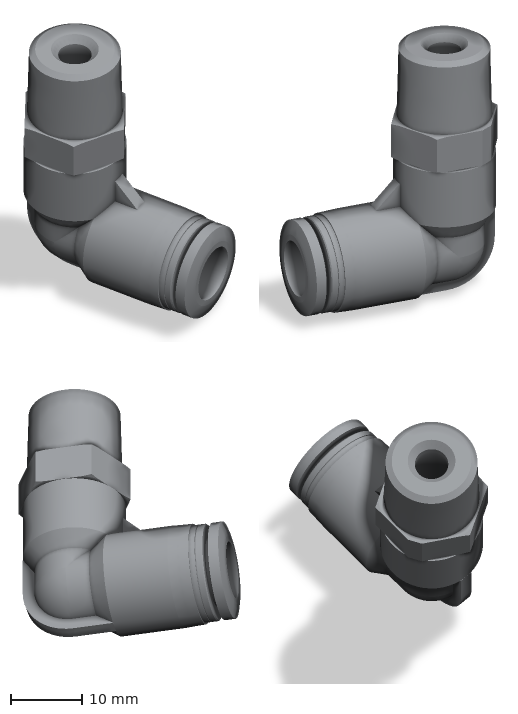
import cadquery as cq
import math

body_radius = 14.5 / 2
elbow_radius = 5.65
shoulder_start = 3.33
shoulder_end = 5.75

body_top = 14.3
hex_bottom = 14.55
hex_top = 20.0
hex_across_flats = 14.0
hex_bevel_radius = 7.5
hex_bevel_angle = 15.0
hex_flat_distance = 7.5
hex_flat_direction = 120.0
overall_height = 38.25
stem_top = overall_height - body_radius
stem_base_radius = 6.75
stem_tip_radius = 6.45
stem_chamfer_height = 0.57
stem_face_radius = 5.6

body_end = 15.0
taper_end = 17.98
taper_end_radius = 14.25 / 2
collar_radius = 13.8 / 2
collar_end = 19.93
collar_chamfer = 0.15
groove_position = 18.9
groove_width = 0.15
groove_depth = 0.15
neck_radius = 9.8 / 2
neck_fillet = 0.55
flange_start = 20.75
flange_rim_end = 22.22
flange_end = 22.72
flange_face_radius = 4.85
flange_bulge = 0.095

bore_radius = 4.7 / 2
countersink_radius = 6.7 / 2
countersink_depth = countersink_radius - bore_radius
tube_radius = 8.0 / 2
tube_stop = 6.5

rib_thickness = 2.0
gusset_reach = 10.8


def vertical_body():
    """Elbow leg, shoulder, body and tapered stem, turned about Z."""
    profile = [
        (0, 0),
        (elbow_radius, 0),
        (elbow_radius, shoulder_start),
        (body_radius, shoulder_end),
        (body_radius, body_top),
        (stem_base_radius, body_top),
        (stem_base_radius, hex_top),
        (stem_tip_radius, stem_top - stem_chamfer_height),
        (stem_face_radius, stem_top),
        (0, stem_top),
    ]
    return cq.Workplane("XZ").polyline(profile).close().revolve(360, (0, 0), (0, 1))


def hexagon():
    """Wrench hexagon with both ends bevelled and one corner trimmed flat."""
    corner_radius = hex_across_flats / math.sqrt(3)
    height = hex_top - hex_bottom
    prism = (
        cq.Workplane("XY")
        .workplane(offset=hex_bottom)
        .polygon(6, 2 * corner_radius)
        .extrude(height)
    )
    bevel_height = (corner_radius - hex_bevel_radius) * math.tan(math.radians(hex_bevel_angle))
    envelope = (
        cq.Workplane("XZ")
        .moveTo(0, hex_bottom)
        .lineTo(hex_bevel_radius, hex_bottom)
        .lineTo(corner_radius, hex_bottom + bevel_height)
        .lineTo(corner_radius, hex_top - bevel_height)
        .lineTo(hex_bevel_radius, hex_top)
        .lineTo(0, hex_top)
        .close()
        .revolve(360, (0, 0), (0, 1))
    )
    trim_block = (
        cq.Workplane("XY")
        .box(corner_radius, corner_radius, height, centered=(False, True, False))
        .translate((hex_flat_distance, 0, hex_bottom))
        .rotate((0, 0, 0), (0, 0, 1), hex_flat_direction)
    )
    return prism.intersect(envelope).cut(trim_block)


def horizontal_body():
    """Elbow leg, body, collar and release flange, turned about X."""
    groove_start = groove_position - groove_width / 2
    groove_end = groove_position + groove_width / 2
    crown_middle = (
        (flange_rim_end + flange_end) / 2 + flange_bulge,
        (collar_radius + flange_face_radius) / 2,
    )
    return (
        cq.Workplane("XZ")
        .lineTo(0, elbow_radius)
        .lineTo(shoulder_start, elbow_radius)
        .lineTo(shoulder_end, body_radius)
        .lineTo(body_end, body_radius)
        .lineTo(taper_end, taper_end_radius)
        .lineTo(taper_end, collar_radius)
        .lineTo(groove_start, collar_radius)
        .lineTo(groove_start, collar_radius - groove_depth)
        .lineTo(groove_end, collar_radius - groove_depth)
        .lineTo(groove_end, collar_radius)
        .lineTo(collar_end - collar_chamfer, collar_radius)
        .lineTo(collar_end, collar_radius - collar_chamfer)
        .lineTo(collar_end, neck_radius)
        .lineTo(flange_start - neck_fillet, neck_radius)
        .radiusArc((flange_start, neck_radius + neck_fillet), -neck_fillet)
        .lineTo(flange_start, collar_radius)
        .lineTo(flange_rim_end, collar_radius)
        .threePointArc(crown_middle, (flange_end, flange_face_radius))
        .lineTo(flange_end, 0)
        .close()
        .revolve(360, (0, 0), (1, 0))
    )


def outer_rib():
    """Rib around the outside of the bend."""
    arc_offset = body_radius * math.sqrt(0.5)
    return (
        cq.Workplane("XZ")
        .moveTo(-body_radius, shoulder_end)
        .lineTo(-body_radius, 0)
        .threePointArc((-arc_offset, -arc_offset), (0, -body_radius))
        .lineTo(shoulder_end, -body_radius)
        .lineTo(shoulder_end, 0)
        .lineTo(0, shoulder_end)
        .close()
        .extrude(rib_thickness / 2, both=True)
    )


def inner_gusset():
    """Triangular web in the inside corner of the elbow."""
    profile = [
        (shoulder_end, shoulder_end),
        (gusset_reach, shoulder_end),
        (gusset_reach, body_radius),
        (body_radius, gusset_reach),
        (shoulder_end, gusset_reach),
    ]
    return cq.Workplane("XZ").polyline(profile).close().extrude(rib_thickness / 2, both=True)


def flow_passage():
    """Right-angle bore with a round elbow, a countersunk inlet and a tube socket."""
    inlet = cq.Workplane("XY").circle(bore_radius).extrude(stem_top)
    outlet = cq.Workplane("YZ").circle(bore_radius).extrude(tube_stop)
    socket = cq.Workplane("YZ").workplane(offset=tube_stop).circle(tube_radius).extrude(flange_end - tube_stop)
    countersink = cq.Workplane(
        cq.Solid.makeCone(
            bore_radius,
            countersink_radius,
            countersink_depth,
            cq.Vector(0, 0, stem_top - countersink_depth),
        )
    )
    bend = cq.Workplane("XY").sphere(bore_radius)
    return inlet.union(outlet).union(bend).union(socket).union(countersink)


bend_sphere = cq.Workplane("XY").sphere(elbow_radius)
outside = vertical_body().union(horizontal_body()).union(bend_sphere)
outside = outside.union(hexagon()).union(outer_rib()).union(inner_gusset())
result = outside.cut(flow_passage())